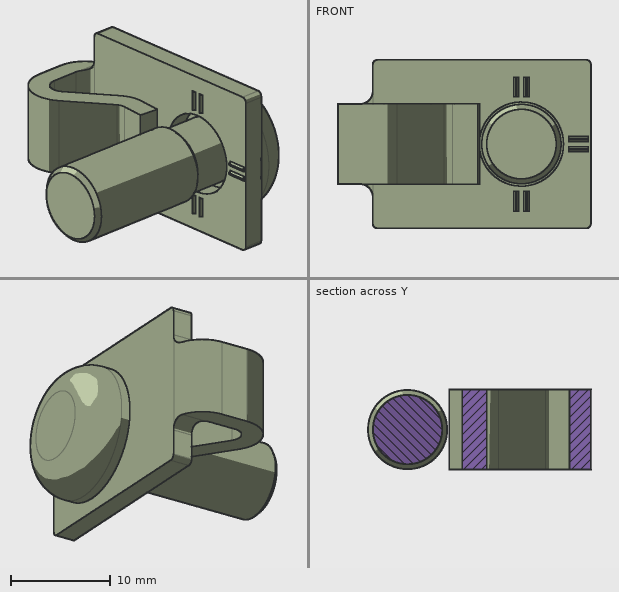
import cadquery as cq
import math


sheet = 2.2
clip_length = 25.5
plate_length = 22.0
plate_height = 17.0
plate_corner_radius = 0.5
axis_to_right_edge = 7.0
clearance_diameter = 8.5
x_right = axis_to_right_edge
x_left = x_right - clip_length
x_plate_left = x_right - plate_length

arm_width = 8.08
root_fillet = 1.28
root_inner_radius = x_plate_left - x_left - sheet
lower_inner_radius = 1.5
crest_inner_radius = 1.25
arm_depth = 10.23
slope_angle = 36.6
slope_length = 5.92
tail_angle = 5.0
tail_length = 2.6

ridge_length = 2.0
ridge_base = 0.5
ridge_height = 0.2
ridge_top = 0.1
ridge_spacing = 1.02
ridge_distance = 5.76
ridge_directions = (0, 90, 270)

head_diameter = 14.0
head_height = 4.4
head_round = 3.4
neck_diameter = 7.0
neck_length = 5.5
thread_diameter = 8.0
shank_length = 20.0
thread_chamfer = (thread_diameter - neck_diameter) / 2


def polar(center, radius, degrees):
    """Point on a circle in the XY plane, measured counterclockwise from +X."""
    angle = math.radians(degrees)
    return (center[0] + radius * math.cos(angle), center[1] + radius * math.sin(angle))


def draw_arm_outline():
    """Side outline of the bent arm, from the plate edge round to the tail."""
    root_outer = root_inner_radius + sheet
    lower_outer = lower_inner_radius + sheet
    crest_outer = crest_inner_radius + sheet
    root = (x_plate_left, -root_outer)
    lower = (x_left + lower_outer, lower_outer - arm_depth)

    slope_normal = slope_angle - 90
    crest_start = 90 + slope_angle
    crest_end = 90 - tail_angle
    slope_outer_start = polar(lower, lower_outer, slope_normal)
    slope_outer_end = polar(slope_outer_start, slope_length, slope_angle)
    crest = polar(slope_outer_end, crest_inner_radius, slope_normal)

    lower_middle = (180 + 360 + slope_normal) / 2
    crest_middle = (crest_start + crest_end) / 2
    tail_inner_start = polar(crest, crest_inner_radius, crest_end)
    tail_outer_start = polar(crest, crest_outer, crest_end)

    return (
        cq.Workplane("XY")
        .moveTo(x_plate_left, 0)
        .threePointArc(polar(root, root_outer, 135), polar(root, root_outer, 180))
        .lineTo(*polar(lower, lower_outer, 180))
        .threePointArc(polar(lower, lower_outer, lower_middle), slope_outer_start)
        .lineTo(*slope_outer_end)
        .threePointArc(polar(crest, crest_inner_radius, crest_middle), tail_inner_start)
        .lineTo(*polar(tail_inner_start, tail_length, -tail_angle))
        .lineTo(*polar(tail_outer_start, tail_length, -tail_angle))
        .lineTo(*tail_outer_start)
        .threePointArc(polar(crest, crest_outer, crest_middle), polar(crest, crest_outer, crest_start))
        .lineTo(*polar(lower, lower_inner_radius, slope_normal))
        .threePointArc(polar(lower, lower_inner_radius, lower_middle), polar(lower, lower_inner_radius, 180))
        .lineTo(*polar(root, root_inner_radius, 180))
        .threePointArc(polar(root, root_inner_radius, 135), polar(root, root_inner_radius, 90))
        .close()
    )


def make_arm():
    """Spring arm, with concave flares beside its root bend."""
    arm = draw_arm_outline().extrude(arm_width / 2, both=True)

    half_width = arm_width / 2
    flare_start = x_plate_left - root_fillet
    root_bend_depth = sheet + root_inner_radius
    arc_center = (flare_start, half_width + root_fillet)
    flare_limit = (
        cq.Workplane("XZ")
        .moveTo(flare_start, 0)
        .lineTo(flare_start, half_width)
        .threePointArc(polar(arc_center, root_fillet, -45), (x_plate_left, half_width + root_fillet))
        .lineTo(x_plate_left, 0)
        .close()
        .extrude(root_bend_depth)
    )
    flare_limit = flare_limit.union(flare_limit.mirror("XY"))
    wide_strip = draw_arm_outline().extrude(half_width + root_fillet, both=True)
    return arm.union(wide_strip.intersect(flare_limit))


def make_ridge(direction, offset):
    """Trapezoidal ridge pointing away from the screw axis, offset sideways."""
    half_base = ridge_base / 2
    half_top = ridge_top / 2
    return (
        cq.Workplane("YZ", origin=(ridge_distance - ridge_length / 2, 0, 0))
        .polyline([
            (-sheet, offset - half_base),
            (-sheet - ridge_height, offset - half_top),
            (-sheet - ridge_height, offset + half_top),
            (-sheet, offset + half_base),
        ])
        .close()
        .extrude(ridge_length)
        .rotate((0, 0, 0), (0, 1, 0), direction)
    )


def make_clip():
    plate = (
        cq.Workplane("XZ")
        .center((x_plate_left + x_right) / 2, 0)
        .rect(plate_length, plate_height)
        .extrude(sheet)
        .edges("|Y")
        .fillet(plate_corner_radius)
    )
    clip = plate.union(make_arm())
    clearance_hole = cq.Workplane("XZ").circle(clearance_diameter / 2).extrude(sheet)
    clip = clip.cut(clearance_hole)
    for direction in ridge_directions:
        for side in (-1, 1):
            clip = clip.union(make_ridge(direction, side * ridge_spacing / 2))
    return clip.solids()


def make_screw():
    """Revolved screw: domed head behind the plate, plain neck, thicker threaded end."""
    head_radius = head_diameter / 2
    neck_radius = neck_diameter / 2
    thread_radius = thread_diameter / 2
    round_center = (head_radius - head_round, head_height - head_round)
    return (
        cq.Workplane("XY")
        .moveTo(0, head_height)
        .lineTo(round_center[0], head_height)
        .threePointArc(polar(round_center, head_round, 45), (head_radius, round_center[1]))
        .lineTo(head_radius, 0)
        .lineTo(neck_radius, 0)
        .lineTo(neck_radius, -neck_length)
        .lineTo(thread_radius, -neck_length - thread_chamfer)
        .lineTo(thread_radius, -shank_length + thread_chamfer)
        .lineTo(thread_radius - thread_chamfer, -shank_length)
        .lineTo(0, -shank_length)
        .close()
        .revolve(360, (0, 0, 0), (0, 1, 0))
    )


clip = make_clip()
screw = make_screw()

result = cq.Compound.makeCompound([clip.val(), screw.val()])